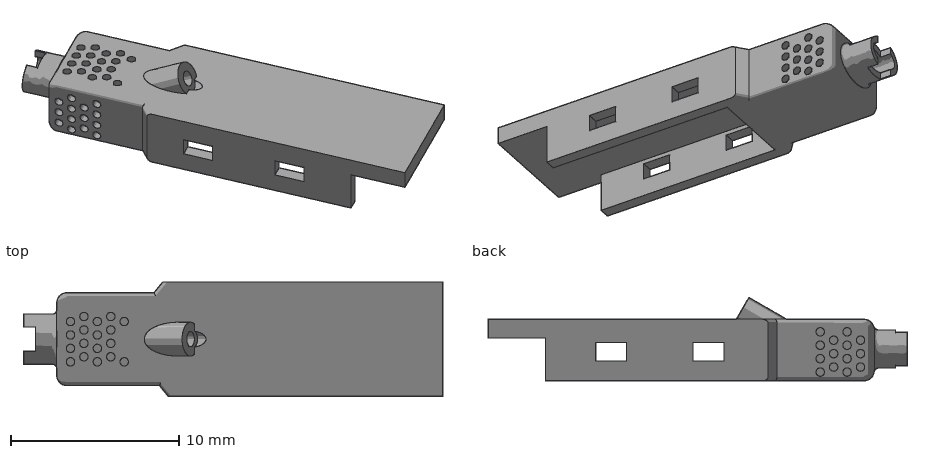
import cadquery as cq
import math

LENGTH = 24.9
BODY_WIDTH = 6.8
BODY_HEIGHT = 3.65

HEAD_START = 1.97
HEAD_WIDTH = 5.53
SHOULDER_LENGTH = 0.52
LEFT_SHOULDER_START = 7.75
RIGHT_SHOULDER_START = 8.07
NOSE_FILLET = 0.62
EDGE_FILLET = 0.27

TONGUE_THICKNESS = 1.12
BODY_END = 21.5

NOZZLE_WIDTH = 3.0
NOZZLE_HEIGHT = 2.27
NOZZLE_Z = 1.9
BORE_WIDTH = 2.35
BORE_HEIGHT = 1.4
FLARE_RADIUS = 0.25
FLARE_WIDTH = 3.45
FLARE_HEIGHT = 2.56
NOTCH_WIDTH = 1.42
NOTCH_DEPTH = 0.7

PASSAGE_BOTTOM = 1.32
PASSAGE_START = 4.98

WALL = 0.72

WINDOW_STARTS = (10.9, 16.68)
WINDOW_LENGTH = 1.82
WINDOW_BOTTOM = 1.2
WINDOW_HEIGHT = 1.07

SPOUT_DIAMETER = 2.02
SPOUT_BORE = 0.9
SPOUT_TILT = 30.0
SPOUT_TOP_X = 9.4
SPOUT_TOP_Z = 4.95
SPOUT_LENGTH = 2.75

GROOVE_DIAMETER = 1.0
GROOVE_DROP = 0.32
GROOVE_LENGTH = 2.0

DIMPLE_DIAMETER = 0.5
DIMPLE_DEPTH = 0.5
DIMPLE_PITCH = 0.8
DIMPLE_START = 2.8
TOP_COLUMN_STARTS = (-1.35, -1.05)
SIDE_COLUMN_STARTS = (0.82, 0.52)
TOP_ROWS = 4
SIDE_ROWS = (3, 4)
GRIP_COLUMNS = 4

PICK_MARGIN = 0.12

tongue_bottom = BODY_HEIGHT - TONGUE_THICKNESS
shoulder_end = RIGHT_SHOULDER_START + SHOULDER_LENGTH
pocket_start = shoulder_end + WALL
spout_angle = math.radians(SPOUT_TILT)


def box(x_range, y_range, z_range):
    """Axis-aligned box between two limits on each axis."""
    size = [high - low for low, high in (x_range, y_range, z_range)]
    corner = (x_range[0], y_range[0], z_range[0])
    return cq.Workplane("XY").box(*size, centered=False).translate(corner)


def ellipse_bar(width, height, start, end):
    """Elliptical bar along X on the nozzle axis."""
    return (
        cq.Workplane("YZ", origin=(start, 0, NOZZLE_Z))
        .ellipse(width / 2, height / 2)
        .extrude(end - start)
    )


def spout_rod(diameter, x, z, length):
    """Rod parallel to the spout that runs back and down from an upper end centred at (x, z)."""
    direction = cq.Vector(-math.cos(spout_angle), 0, -math.sin(spout_angle))
    return cq.Workplane(cq.Solid.makeCylinder(diameter / 2, length, cq.Vector(x, 0, z), direction))


def make_body():
    """Head, shoulders and body with rounded front edges and a rear tongue."""
    half_head = HEAD_WIDTH / 2
    half_body = BODY_WIDTH / 2
    body = (
        cq.Workplane("XY")
        .moveTo(HEAD_START, -half_head)
        .lineTo(RIGHT_SHOULDER_START, -half_head)
        .lineTo(shoulder_end, -half_body)
        .lineTo(LENGTH, -half_body)
        .lineTo(LENGTH, half_body)
        .lineTo(LEFT_SHOULDER_START + SHOULDER_LENGTH, half_body)
        .lineTo(LEFT_SHOULDER_START, half_head)
        .lineTo(HEAD_START, half_head)
        .close()
        .extrude(BODY_HEIGHT)
    )
    rim_zone = cq.selectors.BoxSelector(
        (HEAD_START + PICK_MARGIN, -half_body, -PICK_MARGIN),
        (shoulder_end, half_body, BODY_HEIGHT + PICK_MARGIN),
    )
    body = body.edges("#Z").edges(rim_zone).fillet(EDGE_FILLET)
    body = body.faces("<X").edges().fillet(NOSE_FILLET)
    rear_cut = box((BODY_END, LENGTH), (-half_body, half_body), (0, tongue_bottom))
    return body.cut(rear_cut)


def make_nozzle():
    """Elliptical tube blank with a concave flare where it meets the head."""
    root_end = HEAD_START + NOSE_FILLET
    plate = box((HEAD_START, root_end), (-HEAD_WIDTH, HEAD_WIDTH), (-BODY_HEIGHT, 2 * BODY_HEIGHT))
    tube = ellipse_bar(NOZZLE_WIDTH, NOZZLE_HEIGHT, 0, root_end).union(plate)
    at_root = cq.selectors.BoxSelector(
        (HEAD_START - PICK_MARGIN, -FLARE_WIDTH / 2, 0),
        (HEAD_START + PICK_MARGIN, FLARE_WIDTH / 2, BODY_HEIGHT),
    )
    tube = tube.edges(at_root).fillet(FLARE_RADIUS)
    return tube.intersect(ellipse_bar(FLARE_WIDTH, FLARE_HEIGHT, 0, root_end))


def make_dimples():
    """Staggered columns of blind holes on the top and on both sides of the head."""
    radius = DIMPLE_DIAMETER / 2
    top_points = []
    side_points = []
    for column in range(GRIP_COLUMNS):
        x = DIMPLE_START + column * DIMPLE_PITCH
        stagger = column % 2
        for row in range(TOP_ROWS):
            top_points.append((x, TOP_COLUMN_STARTS[stagger] + row * DIMPLE_PITCH))
        for row in range(SIDE_ROWS[stagger]):
            side_points.append((x, SIDE_COLUMN_STARTS[stagger] + row * DIMPLE_PITCH))

    last_x = DIMPLE_START + GRIP_COLUMNS * DIMPLE_PITCH
    for row in (0, TOP_ROWS - 1):
        top_points.append((last_x, TOP_COLUMN_STARTS[0] + row * DIMPLE_PITCH))

    top = (
        cq.Workplane("XY", origin=(0, 0, BODY_HEIGHT - DIMPLE_DEPTH))
        .pushPoints(top_points)
        .circle(radius)
        .extrude(DIMPLE_DEPTH)
    )
    right = (
        cq.Workplane("XZ", origin=(0, -HEAD_WIDTH / 2 + DIMPLE_DEPTH, 0))
        .pushPoints(side_points)
        .circle(radius)
        .extrude(DIMPLE_DEPTH)
    )
    return top, right, right.mirror("XZ")


mouth_x = SPOUT_TOP_X + SPOUT_DIAMETER / 2 * math.sin(spout_angle)
mouth_z = SPOUT_TOP_Z - SPOUT_DIAMETER / 2 * math.cos(spout_angle)
spout = spout_rod(SPOUT_DIAMETER, mouth_x, mouth_z, SPOUT_LENGTH)
result = make_body().union(make_nozzle()).union(spout)

half_passage = BORE_WIDTH / 2
result = result.cut(ellipse_bar(BORE_WIDTH, BORE_HEIGHT, 0, PASSAGE_START))
result = result.cut(
    box((PASSAGE_START, pocket_start), (-half_passage, half_passage), (PASSAGE_BOTTOM, tongue_bottom))
)

half_pocket = BODY_WIDTH / 2 - WALL
result = result.cut(box((pocket_start, BODY_END), (-half_pocket, half_pocket), (0, tongue_bottom)))

result = result.cut(box((0, NOTCH_DEPTH), (-NOTCH_WIDTH / 2, NOTCH_WIDTH / 2), (0, BODY_HEIGHT)))

for start in WINDOW_STARTS:
    window_x = (start, start + WINDOW_LENGTH)
    window_z = (WINDOW_BOTTOM, WINDOW_BOTTOM + WINDOW_HEIGHT)
    result = result.cut(box(window_x, (-BODY_WIDTH / 2, BODY_WIDTH / 2), window_z))

bore_length = (mouth_z - NOZZLE_Z) / math.sin(spout_angle)
result = result.cut(spout_rod(SPOUT_BORE, mouth_x, mouth_z, bore_length))

groove = spout_rod(
    GROOVE_DIAMETER,
    mouth_x + GROOVE_DROP * math.sin(spout_angle) + GROOVE_LENGTH * math.cos(spout_angle),
    mouth_z - GROOVE_DROP * math.cos(spout_angle) + GROOVE_LENGTH * math.sin(spout_angle),
    GROOVE_LENGTH,
)
result = result.cut(groove)

for dimples in make_dimples():
    result = result.cut(dimples)